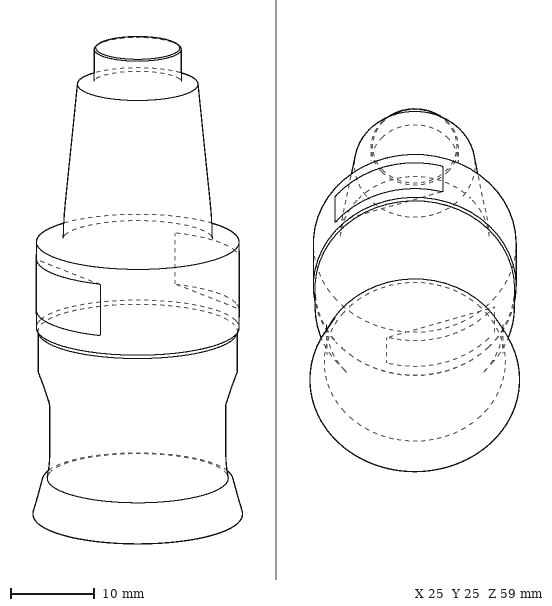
import cadquery as cq
import math

shoulder_fillet = 0.5

total_height = 59
stub_base_z = 54.5
taper_base_z = 39.55
collar_top_z = 35.0
collar_bottom_z = 23.9

stub_radius = 10.4 / 2
stub_edge_chamfer = 0.2
taper_top_radius = 7.2
taper_base_radius = 8.7
collar_radius = 24.2 / 2
collar_edge_height = 0.5
flat_half_width = 10.05
flat_bottom_z = 26.55
flat_top_z = 32.9
flat_fillet = 0.2
flat_cut_overrun = 0.6

sleeve_radius = 23.8 / 2
sleeve_bottom_z = 19.05
sleeve_edge_fillet = 0.5
neck_radius = 21.0 / 2
neck_cone_bottom_z = 15.0
neck_fillet = 2.0
flare_top_z = 8.8
flare_bottom_radius = 10.8
foot_top_z = 5.7
foot_top_radius = 11.3
foot_top_fillet = 0.35
foot_rim_radius = 12.55
foot_rim_z = 1.1
foot_rim_fillet = 0.3
foot_base_radius = 8.5


def edges_at(body, radius, z):
    """Select the circular edge of the given radius and height around the Z axis."""
    tolerance = 0.03
    outer = radius + tolerance
    inner = radius - tolerance
    ring = [
        edge for edge in body.edges("%CIRCLE").vals()
        if abs(edge.Center().z - z) < tolerance and inner < edge.radius() < outer
    ]
    return body.newObject(ring)


def cut_wrench_flats(body):
    """Cut the two opposite flats across the Y direction of the collar."""
    flat_height = flat_top_z - flat_bottom_z
    flat_depth = collar_radius - flat_half_width + flat_cut_overrun
    for side in (-1, 1):
        slot = (
            cq.Workplane("XY")
            .box(2 * collar_radius, flat_depth, flat_height)
            .edges("|X and >Y" if side < 0 else "|X and <Y")
            .fillet(flat_fillet)
            .translate((0, side * (flat_half_width + flat_depth / 2), (flat_top_z + flat_bottom_z) / 2))
        )
        body = body.cut(slot)
    return body


def make_upper_body():
    """Stub, tapered neck and collar with its wrench flats."""
    taper_angle = math.atan2(taper_base_radius - taper_top_radius, stub_base_z - taper_base_z)
    blend_height = taper_base_z - collar_top_z
    blend_radius = blend_height / math.sin(taper_angle)
    blend_end_radius = taper_base_radius + blend_radius * (1 - math.cos(taper_angle))
    body = (
        cq.Workplane("XZ")
        .moveTo(0, collar_bottom_z)
        .lineTo(sleeve_radius, collar_bottom_z)
        .lineTo(collar_radius, collar_bottom_z + collar_edge_height)
        .lineTo(collar_radius, collar_top_z)
        .lineTo(blend_end_radius, collar_top_z)
        .radiusArc((taper_base_radius, taper_base_z), -blend_radius)
        .lineTo(taper_top_radius, stub_base_z)
        .lineTo(stub_radius, stub_base_z)
        .lineTo(stub_radius, total_height)
        .lineTo(0, total_height)
        .close()
        .revolve(360, (0, 0), (0, 1))
    )
    body = edges_at(body, stub_radius, stub_base_z).fillet(shoulder_fillet)
    body = edges_at(body, blend_end_radius, collar_top_z).fillet(shoulder_fillet)
    body = body.faces(">Z").edges().chamfer(stub_edge_chamfer)
    return cut_wrench_flats(body)


def make_lower_body():
    """Sleeve, waisted neck and flared foot."""
    flare_height = flare_top_z - foot_top_z
    flare_growth = flare_bottom_radius - neck_radius
    flare_radius = (flare_height**2 + flare_growth**2) / (2 * flare_growth)
    body = (
        cq.Workplane("XZ")
        .lineTo(foot_base_radius, 0)
        .lineTo(foot_rim_radius, foot_rim_z)
        .lineTo(foot_top_radius, foot_top_z)
        .lineTo(flare_bottom_radius, foot_top_z)
        .radiusArc((neck_radius, flare_top_z), flare_radius)
        .lineTo(neck_radius, neck_cone_bottom_z)
        .lineTo(sleeve_radius, sleeve_bottom_z)
        .lineTo(sleeve_radius, collar_bottom_z)
        .lineTo(0, collar_bottom_z)
        .close()
        .revolve(360, (0, 0), (0, 1))
    )
    body = edges_at(body, neck_radius, neck_cone_bottom_z).fillet(neck_fillet)
    body = edges_at(body, sleeve_radius, sleeve_bottom_z).fillet(sleeve_edge_fillet)
    body = edges_at(body, foot_top_radius, foot_top_z).fillet(foot_top_fillet)
    return edges_at(body, foot_rim_radius, foot_rim_z).fillet(foot_rim_fillet)


upper_body = make_upper_body()
lower_body = make_lower_body()

result = cq.Compound.makeCompound([upper_body.solids().val(), lower_body.solids().val()])